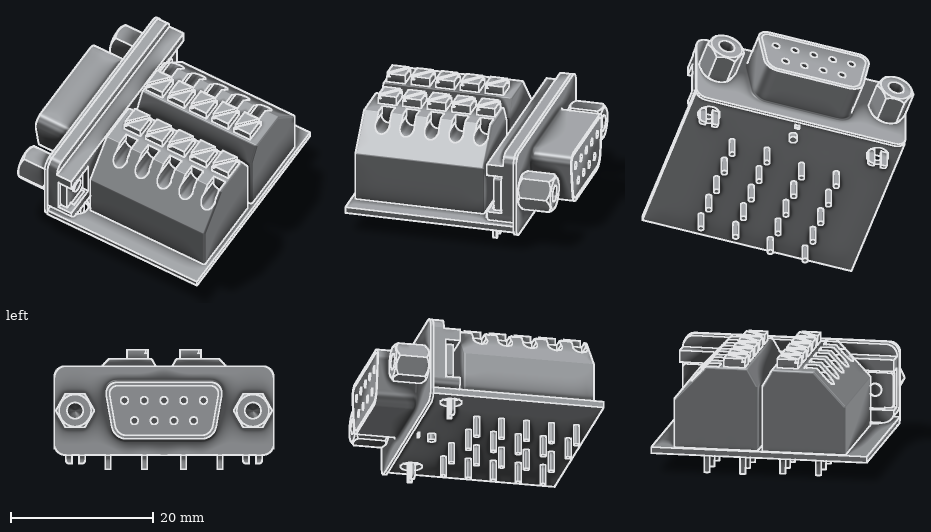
import cadquery as cq
import math


BOARD_END = 30.9
BOARD_WIDTH = 30.9
BOARD_THICKNESS = 0.9
LOCK_HOLE_DIA = 3.1

FLANGE_FRONT = 5.9
FLANGE_BACK = 6.33
FLANGE_HEIGHT = 12.55
CORNER_RADIUS = 1.58
CONNECTOR_Z = 4.5
SHELL_WALL = 0.5
SHELL_FLARE = 0.5
D_HEIGHT = 7.97
D_MID_HALF_WIDTH = 7.75
D_SIDE_ANGLE = math.radians(10)
D_TOP_RADIUS = 1.58
D_BOTTOM_RADIUS = 2.13

HOUSING_WIDTH = 30.7
HOUSING_STEP = 7.85
HOUSING_BACK = 10.2
HOUSING_REAR_TOP = 9.1
UPPER_CONTACTS = 5
LOWER_CONTACTS = 4
CONTACT_PITCH = 2.78
CONTACT_ROW_OFFSET = 1.42
CONTACT_DIA = 1.05
CONTACT_DEPTH = 3.1
PEG_X = 9.58
PEG_DIA = 1.15
PEG_TIP = -1.8
TAB_X = 7.65
TAB_THICKNESS = 0.22
TAB_WIDTH = 0.62
TAB_TIP = -1.42

SLOT_FRONT = 8.1
SLOT_BOTTOM = 1.82
SLOT_TOP = 7.45
SLOT_DEPTH = 4.63

LOCK_Y = 12.45
LOCK_FRONT = 8.22
LOCK_BACK = 9.27
LOCK_BOTTOM = 1.95
LOCK_TOP = 6.98
LOCK_BEND_RADIUS = 0.43
LOCK_SIDE_GAP = 0.28
FOOT_BOTTOM = 1.25
LEG_BACK = 9.75
LEG_TIP = -2.95
LEG_SPAN = 2.75
LEG_GAP = 0.95
LEG_TIP_RADIUS = 0.5

STANDOFF_Y = 12.5
STANDOFF_FRONT = 1.08
HEX_FLATS = 4.73
HEX_END_DIA = 4.5
BORE_DIA = 2.3
BORE_DEPTH = 3.1
BORE_TIP_ANGLE = math.radians(118)
STUD_DIA = 1.8
STUD_END = 9.5

POLES = 5
POLE_ROW_LENGTH = 14.4
POLE_PITCH = POLE_ROW_LENGTH / (POLES - 1)
BLOCK_LENGTH = 18.9
BLOCK_CENTER_X = 20.88
BLOCK_SHIFT_X = 0.05
BLOCK_TOP = 11.83
BLOCK_INNER_Y = 0.3
BLOCK_OUTER_Y = 12.33
TOP_INNER_Y = 1.75
TOP_OUTER_Y = 7.75
INNER_SHOULDER_Z = 9.3
OUTER_SHOULDER_Z = 6.95
BLOCK_FILLET = 0.3
SCREW_X = 0.5
SCREW_INNER_Y = 2.22
SCREW_SIZE_X = 2.7
SCREW_SIZE_Y = 3.0
SCREW_TOP = 13.1
SCREW_SLOT_WIDTH = 0.45
SCREW_SLOT_DEPTH = 0.5
WIRE_X = 0.9
WIRE_START_Y = 5.95
WIRE_Z = 10.4
WIRE_DIA = 2.05
WIRE_SLOT_WIDTH = 1.88
PIN_X = 0.65
PIN_Y = (2.75, 7.88)
PIN_DIA = 0.8
PIN_TIP = -3.77

SIDES = (-1, 1)
LOCK_X = (LOCK_BACK + LEG_BACK) / 2


def box(x, y, z):
    """Box between the (low, high) pairs given for each axis."""
    sizes = (x[1] - x[0], y[1] - y[0], z[1] - z[0])
    return cq.Workplane("XY").box(*sizes, centered=False).translate((x[0], y[0], z[0]))


def rod_x(y, z, diameter, start, end):
    """Round rod along X."""
    return cq.Workplane("YZ", origin=(start, y, z)).circle(diameter / 2).extrude(end - start)


def rod_z(x, y, diameter, start, end):
    """Round rod along Z."""
    return cq.Workplane("XY", origin=(x, y, start)).circle(diameter / 2).extrude(end - start)


def row_points(count, pitch, middle, height):
    """Evenly spaced points of a row, given its middle along and its height across the row."""
    return [(middle + (i - (count - 1) / 2) * pitch, height) for i in range(count)]


def d_prism(inset, length):
    """D-shaped prism from X = 0, with its outline moved inwards by the inset."""
    half_height = D_HEIGHT / 2 - inset
    mid_half_width = D_MID_HALF_WIDTH - inset / math.cos(D_SIDE_ANGLE)
    lean = half_height * math.tan(D_SIDE_ANGLE)
    top = mid_half_width + lean
    bottom = mid_half_width - lean
    corners = [
        (-bottom, -half_height),
        (bottom, -half_height),
        (top, half_height),
        (-top, half_height),
    ]
    return (
        cq.Workplane("YZ", origin=(0, 0, CONNECTOR_Z))
        .polyline(corners)
        .close()
        .extrude(length)
        .edges("|X and >Z")
        .fillet(D_TOP_RADIUS - inset)
        .edges("|X and <Z")
        .fillet(D_BOTTOM_RADIUS - inset)
    )



def standoff_stud(side):
    return rod_x(side * STANDOFF_Y, CONNECTOR_Z, STUD_DIA, FLANGE_FRONT, STUD_END)


def make_standoff(side):
    """Hexagonal standoff with rounded-off corners, a blind drilled bore and a stud at its back."""
    length = FLANGE_FRONT - STANDOFF_FRONT
    corner_dia = HEX_FLATS / math.cos(math.pi / 6)
    start = cq.Workplane("YZ", origin=(STANDOFF_FRONT, side * STANDOFF_Y, CONNECTOR_Z))
    envelope = start.circle(corner_dia / 2).extrude(length).edges().chamfer((corner_dia - HEX_END_DIA) / 2)
    bore_radius = BORE_DIA / 2
    tip = BORE_DEPTH + bore_radius / math.tan(BORE_TIP_ANGLE / 2)
    bore = (
        cq.Workplane("XY")
        .polyline([(0, 0), (0, bore_radius), (BORE_DEPTH, bore_radius), (tip, 0)])
        .close()
        .revolve(360, (0, 0, 0), (1, 0, 0))
        .translate((STANDOFF_FRONT, side * STANDOFF_Y, CONNECTOR_Z))
    )
    hexagon = start.polygon(6, corner_dia).extrude(length)
    return hexagon.intersect(envelope).cut(bore).union(standoff_stud(side))



def make_lock(side):
    """Bracket in the side slot, round-edged top and bottom, with a forked foot through the board."""
    outer_y = HOUSING_WIDTH / 2 - LOCK_SIDE_GAP
    inner_y = HOUSING_WIDTH / 2 - SLOT_DEPTH
    leg_y = (LOCK_Y - LEG_SPAN / 2, LOCK_Y + LEG_SPAN / 2)
    bracket = (
        box((LOCK_FRONT, LOCK_BACK), (inner_y, outer_y), (LOCK_BOTTOM, LOCK_TOP))
        .edges("|X and >Y")
        .fillet(LOCK_BEND_RADIUS)
    )
    neck = box((LOCK_FRONT, LOCK_BACK), leg_y, (FOOT_BOTTOM, LOCK_BOTTOM))
    foot = box((LOCK_FRONT, LEG_BACK), leg_y, (FOOT_BOTTOM, SLOT_BOTTOM))
    legs = (
        box((LOCK_BACK, LEG_BACK), leg_y, (LEG_TIP, SLOT_BOTTOM))
        .edges("|X and <Z")
        .fillet(LEG_TIP_RADIUS)
        .cut(
            box(
                (LOCK_BACK, LEG_BACK),
                (LOCK_Y - LEG_GAP / 2, LOCK_Y + LEG_GAP / 2),
                (LEG_TIP, FOOT_BOTTOM),
            )
        )
    )
    lock = bracket.union(neck).union(foot).union(legs)
    if side < 0:
        lock = lock.mirror("XZ")
    return lock.cut(standoff_stud(side))



def make_shell():
    """D-shaped tube that flares into a flange with round corners."""
    flange = (
        cq.Workplane("YZ", origin=(FLANGE_FRONT, 0, CONNECTOR_Z))
        .rect(BOARD_WIDTH, FLANGE_HEIGHT)
        .extrude(FLANGE_BACK - FLANGE_FRONT)
        .edges("|X")
        .fillet(CORNER_RADIUS)
    )
    half_wall = (FLANGE_BACK - FLANGE_FRONT) / 2
    root_zone = cq.selectors.BoxSelector(
        (FLANGE_FRONT - half_wall, -STANDOFF_Y, CONNECTOR_Z - D_HEIGHT),
        (FLANGE_FRONT + half_wall, STANDOFF_Y, CONNECTOR_Z + D_HEIGHT),
        boundingbox=True,
    )
    shell = d_prism(0, FLANGE_BACK).union(flange).edges(root_zone).fillet(SHELL_FLARE)
    shell = shell.cut(d_prism(SHELL_WALL, FLANGE_BACK))
    for side in SIDES:
        shell = shell.cut(standoff_stud(side))
    return shell



def housing_peg():
    return rod_z(PEG_X, 0, PEG_DIA, PEG_TIP, 0)


def housing_tab():
    half = TAB_THICKNESS / 2
    return box((TAB_X - half, TAB_X + half), (-TAB_WIDTH / 2, TAB_WIDTH / 2), (TAB_TIP, 0))


def contact_holes():
    holes = cq.Workplane("YZ", origin=(0, 0, CONNECTOR_Z))
    upper = row_points(UPPER_CONTACTS, CONTACT_PITCH, 0, CONTACT_ROW_OFFSET)
    lower = row_points(LOWER_CONTACTS, CONTACT_PITCH, 0, -CONTACT_ROW_OFFSET)
    return holes.pushPoints(upper + lower).circle(CONTACT_DIA / 2).extrude(CONTACT_DEPTH)


def make_housing(locks):
    """Insert inside the shell, and the block behind the flange that stands on the board."""
    half_width = HOUSING_WIDTH / 2
    front_top = CONNECTOR_Z + FLANGE_HEIGHT / 2
    front = (
        box((FLANGE_BACK, HOUSING_STEP), (-half_width, half_width), (0, front_top))
        .edges("|X")
        .fillet(CORNER_RADIUS)
    )
    rear = (
        box((HOUSING_STEP, HOUSING_BACK), (-half_width, half_width), (0, HOUSING_REAR_TOP))
        .edges("|X and <Z")
        .fillet(CORNER_RADIUS)
    )
    insert = d_prism(SHELL_WALL, FLANGE_BACK).cut(contact_holes())
    housing = front.union(rear).union(insert).union(housing_peg()).union(housing_tab())
    for side in SIDES:
        slot_y = sorted((side * half_width, side * (half_width - SLOT_DEPTH)))
        slot = box((SLOT_FRONT, HOUSING_BACK), slot_y, (SLOT_BOTTOM, SLOT_TOP))
        housing = housing.cut(slot).cut(standoff_stud(side))
    for lock in locks:
        housing = housing.cut(lock)
    return housing



def pole_points(middle, height):
    """One point for each pole of a terminal block."""
    return row_points(POLES, POLE_PITCH, middle, height)


def block_pins():
    points = [point for y in PIN_Y for point in pole_points(PIN_X, -y)]
    tips = cq.Workplane("XY", origin=(0, 0, PIN_TIP)).pushPoints(points)
    return tips.circle(PIN_DIA / 2).extrude(-PIN_TIP)


def block_screws():
    """Square screw heads, each with a slot along its diagonal."""
    points = pole_points(SCREW_X, -SCREW_INNER_Y - SCREW_SIZE_Y / 2)
    heads = (
        cq.Workplane("XY", origin=(0, 0, BLOCK_TOP))
        .pushPoints(points)
        .rect(SCREW_SIZE_X, SCREW_SIZE_Y)
        .extrude(SCREW_TOP - BLOCK_TOP)
    )
    diagonal = math.hypot(SCREW_SIZE_X, SCREW_SIZE_Y)
    slot_angle = math.degrees(math.atan2(SCREW_SIZE_Y, SCREW_SIZE_X))
    slots = (
        cq.Workplane("XY", origin=(0, 0, SCREW_TOP - SCREW_SLOT_DEPTH))
        .pushPoints(points)
        .slot2D(diagonal + 2 * SCREW_SLOT_WIDTH, SCREW_SLOT_WIDTH, slot_angle)
        .extrude(SCREW_SLOT_DEPTH)
    )
    return heads.cut(slots)


def wire_openings():
    """Round wire openings along Y, each widened upwards into an open slot."""
    length = BLOCK_OUTER_Y - WIRE_START_Y
    start = cq.Workplane("XZ", origin=(0, -WIRE_START_Y, 0))
    rounds = start.pushPoints(pole_points(WIRE_X, WIRE_Z)).circle(WIRE_DIA / 2).extrude(length)
    slot_height = BLOCK_TOP - WIRE_Z
    slots = (
        start.pushPoints(pole_points(WIRE_X, WIRE_Z + slot_height / 2))
        .rect(WIRE_SLOT_WIDTH, slot_height)
        .extrude(length)
    )
    return rounds.union(slots)


def place_block(shape, side):
    """Put a shape made about X = 0 on its side of the board, half a turn about Z making the +Y one."""
    if side > 0:
        shape = shape.rotate((0, 0, 0), (0, 0, 1), 180)
    return shape.translate((BLOCK_CENTER_X + side * BLOCK_SHIFT_X, 0, 0))


def make_block(side):
    """Terminal block; the one at +Y is the one at -Y turned half a turn about Z."""
    profile = [
        (-BLOCK_INNER_Y, 0),
        (-BLOCK_INNER_Y, INNER_SHOULDER_Z),
        (-TOP_INNER_Y, BLOCK_TOP),
        (-TOP_OUTER_Y, BLOCK_TOP),
        (-BLOCK_OUTER_Y, OUTER_SHOULDER_Z),
        (-BLOCK_OUTER_Y, 0),
    ]
    body = (
        cq.Workplane("YZ")
        .polyline(profile)
        .close()
        .extrude(BLOCK_LENGTH / 2, both=True)
        .edges("not <Z")
        .fillet(BLOCK_FILLET)
    )
    block = body.cut(wire_openings()).union(block_screws()).union(block_pins())
    return place_block(block, side)



def make_board():
    """Board with a hole for every pin, peg, tab and board lock."""
    half_width = BOARD_WIDTH / 2
    board = box((FLANGE_BACK, BOARD_END), (-half_width, half_width), (-BOARD_THICKNESS, 0))
    board = board.cut(housing_peg()).cut(housing_tab())
    for side in SIDES:
        board = board.cut(rod_z(LOCK_X, side * LOCK_Y, LOCK_HOLE_DIA, -BOARD_THICKNESS, 0))
        board = board.cut(place_block(block_pins(), side))
    return board


board = make_board()
shell = make_shell()
standoffs = [make_standoff(side) for side in SIDES]
locks = [make_lock(side) for side in SIDES]
housing = make_housing(locks)
blocks = [make_block(side) for side in SIDES]

result = cq.Compound.makeCompound(
    [body.solids().val() for body in (board, shell, housing, *standoffs, *locks, *blocks)]
)